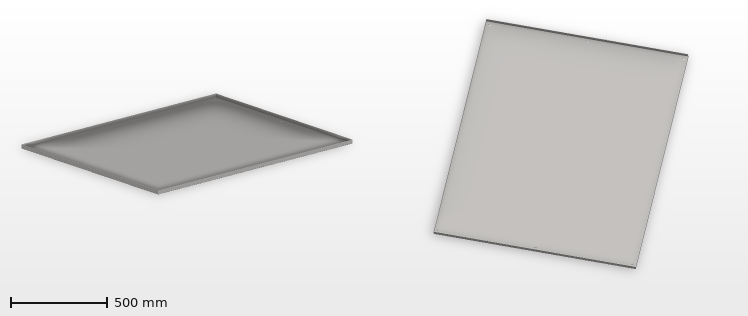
import cadquery as cq

width = 1074.0
length = 1348.0
height = 22.0

sheet = 2.0
inner_bend = 0.5
outer_bend = inner_bend + sheet

slot_length = 16.0
slot_width = 10.0
slot_spacing_x = 516.0
slot_spacing_y = 1305.0


def folded_channel(span, depth):
    """U-shaped sheet, open upward: span across X, extruded along Y."""
    outer = (
        cq.Workplane("XZ")
        .rect(span, 2 * height)
        .extrude(depth)
        .translate((0, depth / 2, height))
        .faces("<Z")
        .edges("|Y")
        .fillet(outer_bend)
    )
    inner = (
        cq.Workplane("XZ")
        .rect(span - 2 * sheet, 2 * height)
        .extrude(depth)
        .translate((0, depth / 2, height + sheet))
        .faces("<Z")
        .edges("|Y")
        .fillet(inner_bend)
    )
    below_rim = cq.Workplane("XY").box(span, depth, height, centered=(True, True, False))
    return outer.cut(inner).intersect(below_rim)


floor_width = width - 2 * outer_bend
floor_with_ends = folded_channel(length, floor_width).rotate((0, 0, 0), (0, 0, 1), 90)

side_flanges = folded_channel(width, length).cut(cq.Workplane("XY").box(floor_width, length, 2 * height))
tray = floor_with_ends.union(side_flanges)

slots = (
    cq.Workplane("XY")
    .rarray(slot_spacing_x, slot_spacing_y, 3, 2)
    .slot2D(slot_length, slot_width)
    .extrude(height)
)

result = tray.cut(slots)